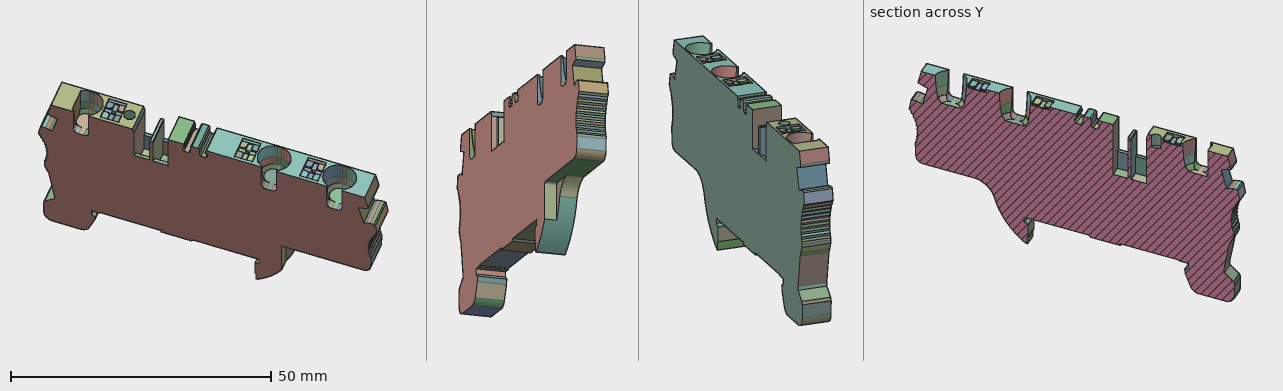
import cadquery as cq
import math

length = 69.6
thickness = 6.0
height = 36.0
end_x = length / 2

grip_radius = 9.05
grip_hollow_x = 32.95
grip_centre_z = 20.55
grip_start_angle = 33.0
grip_end_angle = -21.0
grip_ridges = 9
grip_ridge_height = 0.2

rail_z = 6.95
shelf_z = 13.2
shelf_end_x = 33.4
shelf_corner = 1.6

foot_step_x = 15.2
foot_end_x = 20.7
foot_web_y = 2.45
foot_step_corner = 0.3

funnel_xs = (-26.05, 12.5, 26.0)
funnel_straight = 0.85
funnel_floor_z = 29.6
throat_width = 3.1
throat_corner = 1.05
funnel_mouth = (height, 2.9, 2.85)
funnel_waist = (32.65, 3.05, 2.65)
funnel_hip = (funnel_floor_z + throat_corner, 3.2, 2.4)
funnel_floor = (funnel_floor_z, 3.4, 1.75)
funnel_flat_x = -28.05

window_xs = (-20.5, 7.0, 20.5)
window_y = 3.0
window_length = 3.7
window_width = 4.75
window_back_slope = 0.35
window_depth = 0.4
window_lip = 0.1
cross_width = 1.05
cross_depth = 0.35
pyramid_base = 1.5
pyramid_tip = 0.1
pyramid_depth = 2 * cross_depth

test_hole_diameter = 2.15
test_hole_x = -17.2
test_hole_y = 3.05
test_hole_depth = 2.8
test_hole_rise = 0.15
test_hole_ridge_x = -17.35

shaft_left_x = -15.1
shaft_right_x = -8.15
shaft_floor_z = 27.9
shaft_rim_width = 0.35
shaft_rim_drop = 1.05
blade_left_x = -12.0
blade_right_x = -11.2
blade_top_z = 33.8
blade_bevel = 0.15
well_front_y = 0.7
well_back_y = 5.3
well_depth = 4.2

marker_x = -2.65
marker_floor_z = 33.85
marker_wall_x = -4.75
marker_undercut_depth = 5.3
marker_rib_half = 0.9
marker_rib_bevel = 0.3
marker_rib_foot = 0.35


def extrude_outline(outline):
    """Carry a closed XZ outline through the full thickness."""
    return outline.close().extrude(-thickness)


def block(x_range, y_range, z_range):
    """Box between the given limits."""
    size = [high - low for low, high in (x_range, y_range, z_range)]
    return cq.Workplane("XY").box(*size, centered=False).translate((x_range[0], y_range[0], z_range[0]))


def grip_points():
    """Zigzag of ridges along the hollow arc of the right-hand end, from top to bottom."""
    points = []
    steps = 2 * grip_ridges
    for step in range(steps + 1):
        angle = math.radians(grip_start_angle + (grip_end_angle - grip_start_angle) * step / steps)
        radius = grip_radius - grip_ridge_height * (step % 2)
        x = grip_hollow_x + grip_radius - radius * math.cos(angle)
        points.append((x, grip_centre_z + radius * math.sin(angle)))
    return points


def end_points():
    """Right-hand end from the top corner down: marker notch, nose and grip."""
    notch_and_nose = [
        (32.25, height),
        (32.9, 33.4),
        (32.95, 32.9),
        (30.9, 32.2),
        (32.0, 27.9),
        (32.5, 28.2),
        (33.35, 28.4),
        (34.1, 28.4),
        (34.4, 28.2),
        (end_x, 25.9),
    ]
    return notch_and_nose + grip_points()


def mirrored(points, axis_x=0.0):
    """Points reflected across a vertical line, in reverse order to keep the outline running on."""
    return [(2 * axis_x - x, z) for x, z in reversed(points)]


def make_body():
    """Side outline of the housing with its rail foot, drawn clockwise from the left end."""
    right_end = end_points()
    arc_inset = shelf_corner * (1 - math.sqrt(0.5))
    snap_hook = [(9.9, 0.6), (9.9, 2.4), (9.7, 2.45), (9.7, 5.5), (10.5, 5.9), (10.5, rail_z)]
    rail_pad = [(-3.05, rail_z), (-3.35, 6.55), (-9.6, 6.55), (-9.6, rail_z)]
    rail_claw = [(-22.0, rail_z), (-22.2, 6.75), (-23.9, 6.75), (-23.9, 5.7), (-23.1, 5.1), (-23.25, 4.05)]
    left_flank = [
        (-33.8, 4.9),
        (-33.5, 5.5),
        (-31.55, 7.1),
        (-31.5, 7.8),
        (-32.65, 14.55),
        (-33.1, 15.4),
        (-33.55, 16.65),
    ]
    outline = (
        cq.Workplane("XZ")
        .polyline(mirrored(right_end) + right_end)
        .lineTo(shelf_end_x, shelf_z + shelf_corner)
        .threePointArc(
            (shelf_end_x - arc_inset, shelf_z + arc_inset),
            (shelf_end_x - shelf_corner, shelf_z),
        )
        .lineTo(foot_end_x, shelf_z)
        .threePointArc((18.45, 12.2), (17.0, 10.1))
        .threePointArc((14.5, 4.75), (10.25, 0.6))
        .polyline(snap_hook + rail_pad + rail_claw, includeCurrent=True)
        .lineTo(-24.45, 1.1)
        .threePointArc((-25.0, 0.4), (-26.0, 0))
        .lineTo(-32.0, 0)
        .threePointArc((-33.2, 0.7), (-33.7, 2.15))
        .polyline(left_flank, includeCurrent=True)
    )
    return extrude_outline(outline)


def make_foot_step():
    """Space in front of the thin outer web of the snap foot."""
    space = block((foot_step_x, foot_end_x), (0, foot_web_y), (0, shelf_z))
    return space.edges("|Y and <X and >Z").fillet(foot_step_corner)


def make_shaft():
    """Bridge shaft with a broken rim, leaving the blade standing between the two wells."""
    rim = [
        (shaft_left_x - shaft_rim_width, height),
        (shaft_left_x, height - shaft_rim_drop),
        (shaft_left_x, shaft_floor_z),
        (shaft_right_x, shaft_floor_z),
        (shaft_right_x, height),
    ]
    blade = [
        (blade_left_x, shaft_floor_z),
        (blade_left_x, blade_top_z - blade_bevel),
        (blade_left_x + blade_bevel, blade_top_z),
        (blade_right_x - blade_bevel, blade_top_z),
        (blade_right_x, blade_top_z - blade_bevel),
        (blade_right_x, shaft_floor_z),
    ]
    shaft = extrude_outline(cq.Workplane("XZ").polyline(rim))
    shaft = shaft.cut(extrude_outline(cq.Workplane("XZ").polyline(blade)))
    for x_range in ((shaft_left_x, blade_left_x), (blade_right_x, shaft_right_x)):
        well_z = (shaft_floor_z - well_depth, shaft_floor_z)
        shaft = shaft.union(block(x_range, (well_front_y, well_back_y), well_z))
    return shaft


def make_marker_seat():
    """Two grooves mirrored about the rib, each with an undercut that stops short of the back face."""
    rib_x = marker_x - marker_rib_half
    groove = [
        (-4.95, height),
        (-4.95, 35.5),
        (marker_wall_x, 35.4),
        (marker_wall_x, marker_floor_z),
        (rib_x - marker_rib_foot, marker_floor_z),
        (rib_x, marker_floor_z + marker_rib_foot),
        (rib_x, height - marker_rib_bevel),
        (rib_x + marker_rib_bevel, height),
    ]
    undercut = [
        (marker_wall_x, 35.1),
        (-5.2, 34.75),
        (-5.2, 34.3),
        (-4.9, marker_floor_z),
        (marker_wall_x, marker_floor_z),
    ]
    seat = cq.Workplane("XY")
    for outline, depth in ((groove, thickness), (undercut, marker_undercut_depth)):
        for points in (outline, mirrored(outline, marker_x)):
            seat = seat.add(cq.Workplane("XZ").polyline(points).close().extrude(-depth))
    return seat.combine()


def funnel_stage(top, bottom):
    """Tapered stretch between two stadium sections given as (z, y, radius)."""
    (top_z, top_y, top_radius), (bottom_z, bottom_y, bottom_radius) = top, bottom
    return (
        cq.Workplane("XY", origin=(0, top_y, top_z))
        .slot2D(funnel_straight + 2 * top_radius, 2 * top_radius)
        .workplane(offset=bottom_z - top_z)
        .center(0, bottom_y - top_y)
        .slot2D(funnel_straight + 2 * bottom_radius, 2 * bottom_radius)
        .loft(ruled=True)
    )


def make_funnel():
    """Conductor funnel at X = 0, open to the front face through a round-cornered throat."""
    mouth_y = funnel_mouth[1]
    half_throat = throat_width / 2
    throat = block((-half_throat, half_throat), (0, mouth_y), (funnel_floor_z, height))
    throat = throat.edges("|Y and <Z").fillet(throat_corner)
    funnel = throat.union(funnel_stage(funnel_mouth, funnel_waist))
    funnel = funnel.union(funnel_stage(funnel_waist, funnel_hip))
    return funnel.union(funnel_stage(funnel_hip, funnel_floor))


def make_window():
    """Release window at X = 0, with a sloping back wall and the cross and pyramid sunk in its floor."""
    floor_z = height - window_depth
    half_length = window_length / 2
    half_width = window_width / 2
    half_cross = cross_width / 2
    cross_z = (floor_z - cross_depth, floor_z)
    window = block((-half_length, half_length), (-half_width, half_width), (floor_z, height))
    window = window.edges(">Y and <Z").chamfer(window_depth - window_lip, window_back_slope)
    window = window.union(block((-half_length, half_length), (-half_cross, half_cross), cross_z))
    upright_y = (-half_width, half_width - window_back_slope)
    window = window.union(block((-half_cross, half_cross), upright_y, cross_z))
    pyramid = (
        cq.Workplane("XY", origin=(0, 0, floor_z))
        .rect(pyramid_base, pyramid_base)
        .workplane(offset=-pyramid_depth)
        .rect(pyramid_tip, pyramid_tip)
        .loft(ruled=True)
    )
    return window.union(pyramid).translate((0, window_y, 0))


def make_test_hole():
    """Blind round hole whose floor ramps up on the -X side of the ridge."""
    floor_z = height - test_hole_depth
    left_x = test_hole_x - test_hole_diameter / 2
    right_x = test_hole_x + test_hole_diameter / 2
    side = [
        (left_x, height),
        (right_x, height),
        (right_x, floor_z),
        (test_hole_ridge_x, floor_z),
        (left_x, floor_z + test_hole_rise),
    ]
    bore = (
        cq.Workplane("XY", origin=(test_hole_x, test_hole_y, height))
        .circle(test_hole_diameter / 2)
        .extrude(-test_hole_depth)
    )
    return bore.intersect(extrude_outline(cq.Workplane("XZ").polyline(side)))


result = make_body().cut(make_foot_step()).cut(make_shaft()).cut(make_marker_seat()).cut(make_test_hole())

for funnel_x in funnel_xs:
    funnel = make_funnel().translate((funnel_x, 0, 0))
    if funnel_x == min(funnel_xs):
        funnel = funnel.intersect(block((funnel_flat_x, end_x), (0, thickness), (0, height)))
    result = result.cut(funnel)

for window_x in window_xs:
    result = result.cut(make_window().translate((window_x, 0, 0)))